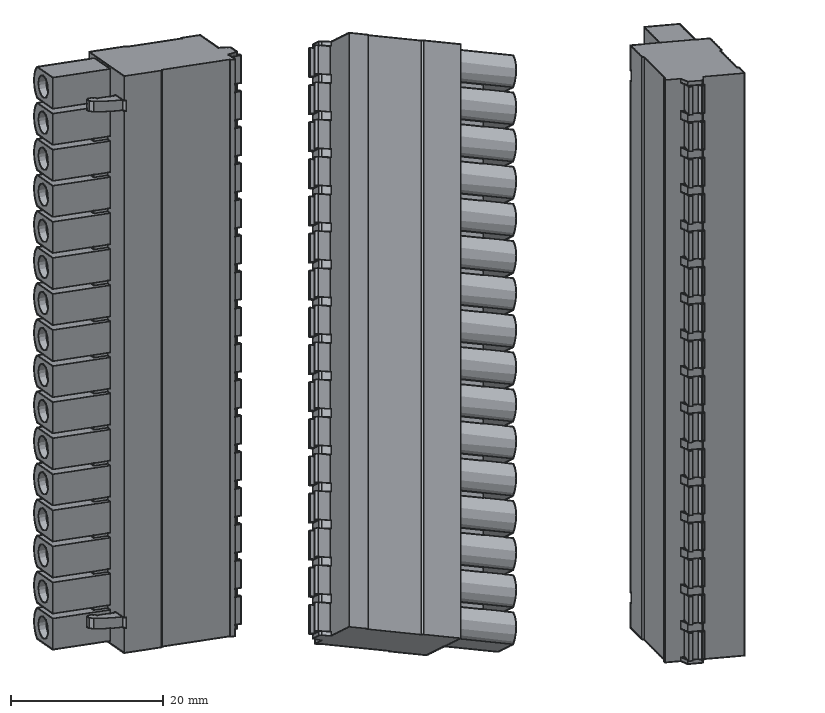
import cadquery as cq
import math

POLES = 16
HEIGHT = 80
PITCH = HEIGHT / POLES

WIDTH = 10.9
DEPTH = 16.1
WAIST_INSET = 0.2
WAIST_FRONT = 5.6
LEFT_WAIST_BACK = 13.4
RIGHT_WAIST_BACK = 15.4

PLUG_LENGTH = 8.3
PLUG_HEIGHT = 4.3
PLUG_RIGHT = 6.6
BORE_X = 3.6
BORE_DIAMETER = 3.0
BORE_DEPTH = 1.1
PLUG_RADIUS = 2.9

WEB_LEFT = 1.9
WEB_STEP = 2.4
WEB_RIGHT = 5.8
WEB_LONG = 4.1
WEB_SHORT = 2.0

ARM_WIDTH = 1.4
ARM_END_DISTANCE = 4.2
ARM_LENGTH = 4.2
ARM_INNER = 8.4
ARM_ROOT_CHAMFER = 0.3
ARM_ROOT_OUTER = 10.4
ARM_OUTER_MIDDLE = (10.1, -1.8)
ARM_OUTER_END = (9.4, -3.7)
ARM_NOSE = (8.9, -4.2)
ARM_BEVEL_BACK = 0.3
HOOK_REACH = 0.5
HOOK_BEVEL = 0.4
HOOK_FLAT = 0.7

RIB_THICKNESS = 1.1
RIB_HEIGHT = 1.5
RIB_BASE_LEFT = 5.7
RIB_BASE_RIGHT = 8.7
RIB_TOP_LEFT = 6.2
RIB_SHOULDER = 1.2
BLOCK_HEIGHT = 3.8
BLOCK_DEPTH = 2.1
BLOCK_LEFT = 6.0
BLOCK_CHAMFER = 0.3
BLOCK_RIGHT = 8.2
GROOVE_LEFT = 6.8
GROOVE_LEFT_TIP = 6.5
GROOVE_RIGHT = 7.7


def pole_z(index):
    """Height of the middle of a pole."""
    return (index + 0.5) * PITCH


def prism(outline, middle, height):
    """Extrude a closed outline in XY, centred on the given height."""
    return outline.extrude(height).translate((0, 0, middle - height / 2))


def polygon(points):
    return cq.Workplane("XY").polyline(points).close()


def make_housing():
    left_waist = WAIST_INSET
    right_waist = WIDTH - WAIST_INSET
    outline = polygon([
        (0, 0),
        (WIDTH, 0),
        (WIDTH, WAIST_FRONT - WAIST_INSET),
        (right_waist, WAIST_FRONT),
        (right_waist, RIGHT_WAIST_BACK),
        (WIDTH, RIGHT_WAIST_BACK),
        (WIDTH, DEPTH),
        (0, DEPTH),
        (0, LEFT_WAIST_BACK),
        (left_waist, LEFT_WAIST_BACK),
        (left_waist, WAIST_FRONT),
        (0, WAIST_FRONT - WAIST_INSET),
    ])
    return prism(outline, HEIGHT / 2, HEIGHT)


def make_plug(middle):
    half = PLUG_HEIGHT / 2
    flat_left = BORE_X - math.sqrt(PLUG_RADIUS**2 - half**2)
    return (
        cq.Workplane("XZ", origin=(0, 0, middle))
        .moveTo(flat_left, half)
        .lineTo(PLUG_RIGHT, half)
        .lineTo(PLUG_RIGHT, -half)
        .lineTo(flat_left, -half)
        .threePointArc((BORE_X - PLUG_RADIUS, 0), (flat_left, half))
        .close()
        .extrude(PLUG_LENGTH)
    )


def make_bore(middle):
    return (
        cq.Workplane("XZ", origin=(BORE_X, -PLUG_LENGTH, middle))
        .circle(BORE_DIAMETER / 2)
        .extrude(-BORE_DEPTH)
    )


def make_web(middle):
    outline = polygon([
        (WEB_LEFT, 0),
        (WEB_LEFT, -WEB_LONG),
        (WEB_STEP, -WEB_LONG),
        (WEB_STEP, -WEB_SHORT),
        (WEB_RIGHT, -WEB_SHORT),
        (WEB_RIGHT, 0),
    ])
    return prism(outline, middle, PITCH - PLUG_HEIGHT)


def make_arm(middle):
    hook_left = ARM_INNER - HOOK_REACH
    hook_front = -ARM_LENGTH + HOOK_BEVEL
    hook_back = hook_front + HOOK_FLAT
    root_left = ARM_INNER - ARM_ROOT_CHAMFER
    outline = (
        cq.Workplane("XY")
        .moveTo(ARM_ROOT_OUTER, 0)
        .threePointArc(ARM_OUTER_MIDDLE, ARM_OUTER_END)
        .lineTo(*ARM_NOSE)
        .lineTo(ARM_INNER, -ARM_LENGTH)
        .lineTo(hook_left, hook_front)
        .lineTo(hook_left, hook_back)
        .lineTo(ARM_INNER, hook_back + HOOK_BEVEL)
        .lineTo(ARM_INNER, -ARM_ROOT_CHAMFER)
        .lineTo(root_left, 0)
        .close()
    )
    return prism(outline, middle, ARM_WIDTH)


def make_arm_notch(middle):
    """Bevel the front right edge of the housing beside the root of the arm."""
    outline = polygon([(WIDTH, ARM_BEVEL_BACK), (ARM_ROOT_OUTER, 0), (WIDTH, 0)])
    return prism(outline, middle, ARM_WIDTH)


def make_rib(middle, thickness):
    outline = polygon([
        (RIB_BASE_LEFT, DEPTH),
        (RIB_BASE_RIGHT, DEPTH),
        (BLOCK_RIGHT, DEPTH + RIB_HEIGHT),
        (RIB_TOP_LEFT, DEPTH + RIB_HEIGHT),
        (BLOCK_LEFT, DEPTH + RIB_SHOULDER),
    ])
    return prism(outline, middle, thickness)


def make_block(middle):
    tip = DEPTH + BLOCK_DEPTH
    floor = DEPTH + RIB_HEIGHT
    outline = polygon([
        (BLOCK_LEFT, DEPTH),
        (BLOCK_RIGHT, DEPTH),
        (BLOCK_RIGHT, tip),
        (GROOVE_RIGHT, tip),
        (GROOVE_RIGHT, floor),
        (GROOVE_LEFT, floor),
        (GROOVE_LEFT_TIP, tip),
        (BLOCK_LEFT + BLOCK_CHAMFER, tip),
        (BLOCK_LEFT, tip - BLOCK_CHAMFER),
    ])
    return prism(outline, middle, BLOCK_HEIGHT)


result = make_housing()

for arm_z in (ARM_END_DISTANCE, HEIGHT - ARM_END_DISTANCE):
    result = result.cut(make_arm_notch(arm_z)).union(make_arm(arm_z))

for pole in range(POLES):
    result = result.union(make_plug(pole_z(pole))).union(make_block(pole_z(pole)))

for boundary in range(1, POLES):
    result = result.union(make_web(boundary * PITCH))
    result = result.union(make_rib(boundary * PITCH, RIB_THICKNESS))

END_RIB_THICKNESS = RIB_THICKNESS / 2
for end_rib_z in (END_RIB_THICKNESS / 2, HEIGHT - END_RIB_THICKNESS / 2):
    result = result.union(make_rib(end_rib_z, END_RIB_THICKNESS))

for pole in range(POLES):
    result = result.cut(make_bore(pole_z(pole)))